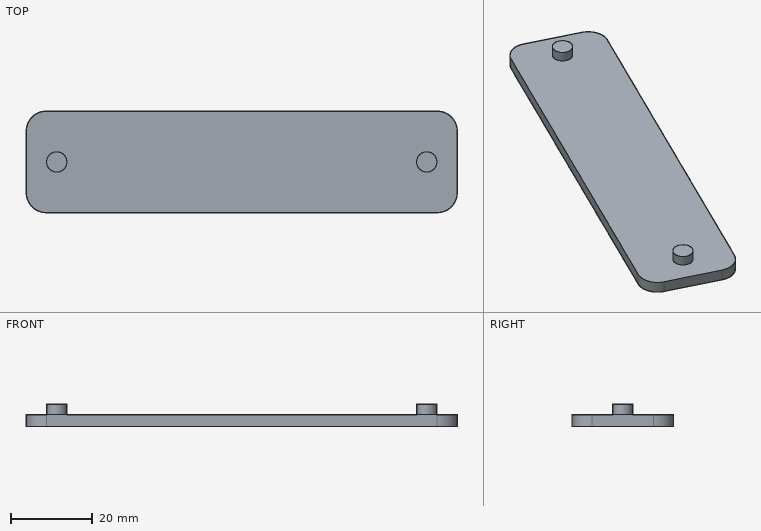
import cadquery as cq

length = 106.0
width = 25.0
total_height = 5.5
plate_thickness = 3.0
corner_radius = 5.0

peg_diameter = 5.0
peg_spacing = 91.0
peg_height = total_height - plate_thickness

plate = (
    cq.Workplane("XY")
    .box(length, width, plate_thickness, centered=(True, True, False))
    .edges("|Z")
    .fillet(corner_radius)
)

pegs = (
    cq.Workplane("XY")
    .workplane(offset=plate_thickness)
    .pushPoints([(-peg_spacing / 2, 0), (peg_spacing / 2, 0)])
    .circle(peg_diameter / 2)
    .extrude(peg_height)
)

result = plate.union(pegs)